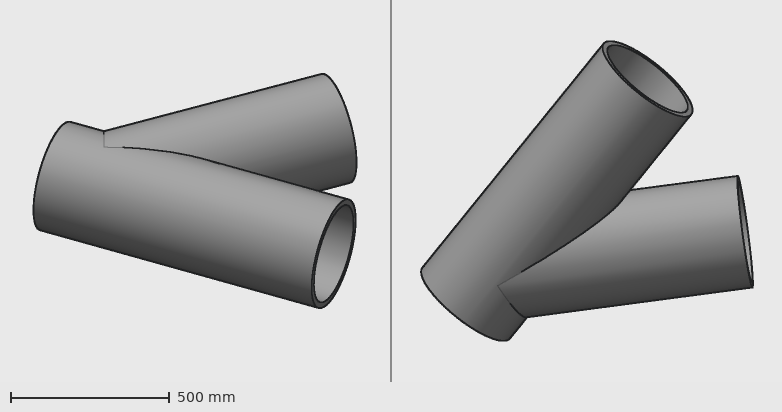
import cadquery as cq
import math

run_length = 952.5
outer_diameter = 355.0
bore_diameter = 317.0
branch_angle = 45.0
branch_length = 788.0
branch_position = 165.0

run_start = cq.Vector(-branch_position, 0, 0)
run_direction = cq.Vector(1, 0, 0)
branch_start = cq.Vector(0, 0, 0)
branch_direction = cq.Vector(
    math.cos(math.radians(branch_angle)),
    math.sin(math.radians(branch_angle)),
    0,
)


def wye_cylinders(diameter):
    """Join the run and branch cylinders of one diameter."""
    radius = diameter / 2
    run = cq.Solid.makeCylinder(radius, run_length, run_start, run_direction)
    branch = cq.Solid.makeCylinder(radius, branch_length, branch_start, branch_direction)
    return cq.Workplane(obj=run).union(cq.Workplane(obj=branch))


result = wye_cylinders(outer_diameter).cut(wye_cylinders(bore_diameter))